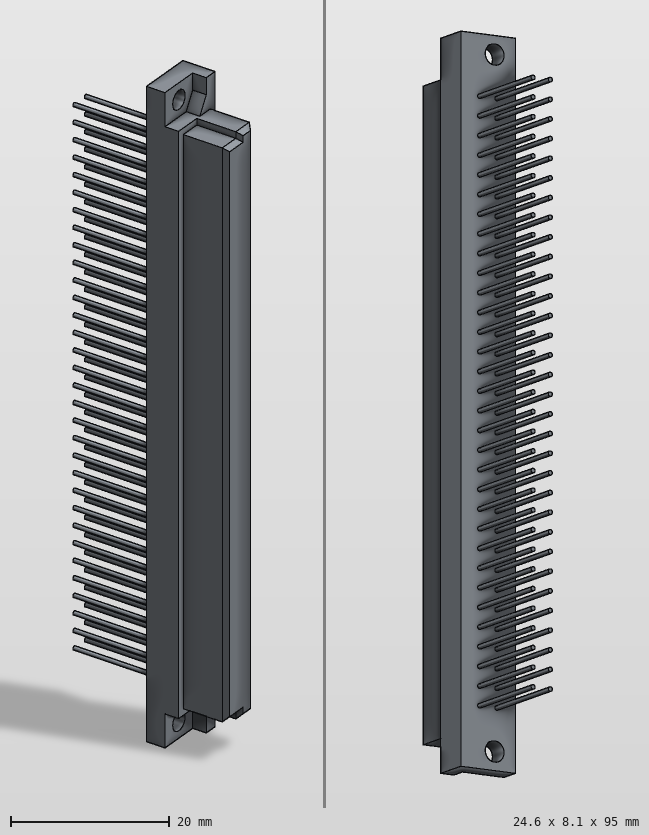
import cadquery as cq

flange_length = 95.0
flange_width = 8.1
flange_thickness = 4.9
half_length = flange_length / 2

pin_diameter = 0.6
pin_length = 13.0
pin_column_count = 2
pins_per_column = 32
pin_column_span = 78.8
pin_pitch = pin_column_span / (pins_per_column - 1)

overall_depth = 24.6
plug_depth = overall_depth - pin_length - flange_thickness
plug_width = 6.0
plug_length = 85.1
plug_end_step = 0.95
plug_chamfer = 0.7

hole_diameter = 2.8
hole_end_distance = 2.5
hole_y = -0.95
hole_z = half_length - hole_end_distance
recess_depth = 2.1
recess_length = (flange_length - plug_length) / 2
recess_wall_y = 2.1
recess_slope_width = 1.4

flange_back = pin_length
flange_front = flange_back + flange_thickness


def make_flange():
    return (
        cq.Workplane("YZ", origin=(flange_back, 0, 0))
        .rect(flange_width, flange_length)
        .extrude(flange_thickness)
    )


def make_plug():
    half_width = plug_width / 2
    long_end = plug_length / 2
    short_end = long_end - plug_end_step
    return (
        cq.Workplane("YZ", origin=(flange_front, 0, 0))
        .moveTo(-half_width, -short_end)
        .lineTo(0, -short_end)
        .lineTo(0, -long_end)
        .lineTo(half_width, -long_end)
        .lineTo(half_width, long_end)
        .lineTo(0, long_end)
        .lineTo(0, short_end)
        .lineTo(-half_width, short_end)
        .close()
        .extrude(plug_depth)
        .faces(">X")
        .chamfer(plug_chamfer)
    )


def make_pins():
    return (
        cq.Workplane("YZ")
        .rarray(pin_pitch, pin_pitch, pin_column_count, pins_per_column)
        .circle(pin_diameter / 2)
        .extrude(pin_length)
    )


def make_holes():
    return (
        cq.Workplane("YZ", origin=(flange_back, 0, 0))
        .pushPoints([(hole_y, hole_z), (hole_y, -hole_z)])
        .circle(hole_diameter / 2)
        .extrude(flange_thickness)
    )


def make_top_recess():
    """Recess open to the end and -Y side, with a sloped corner like a hexagon flank."""
    floor_z = half_length - recess_length
    return (
        cq.Workplane("YZ", origin=(flange_front - recess_depth, 0, 0))
        .moveTo(-flange_width / 2, floor_z)
        .lineTo(recess_wall_y - recess_slope_width, floor_z)
        .lineTo(recess_wall_y, hole_z)
        .lineTo(recess_wall_y, half_length)
        .lineTo(-flange_width / 2, half_length)
        .close()
        .extrude(recess_depth)
    )


top_recess = make_top_recess()
bottom_recess = top_recess.mirror("XY")

flange = make_flange().cut(top_recess).cut(bottom_recess).cut(make_holes())
result = flange.union(make_plug()).union(make_pins())